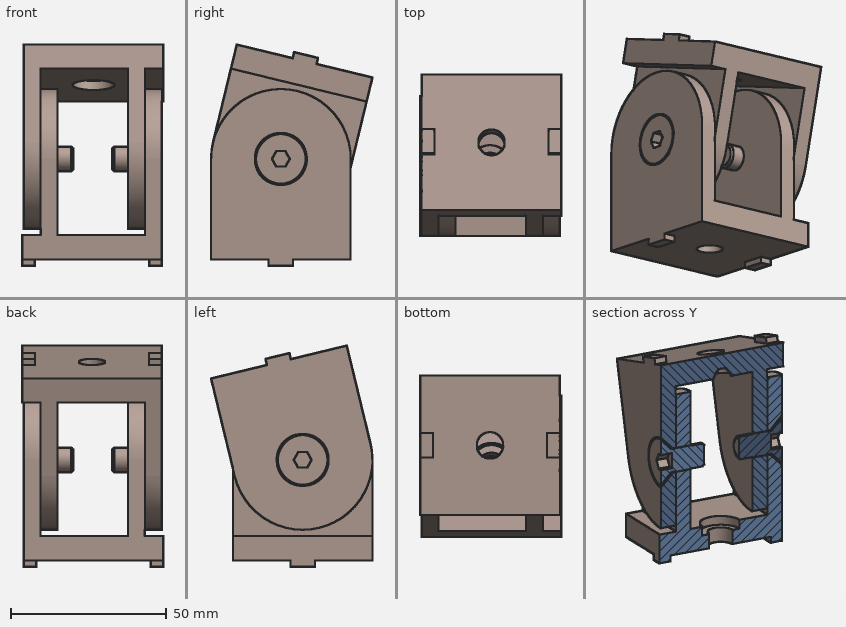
import cadquery as cq
import math

SIZE = 45.0
BASE_THICKNESS = 8.0
PIVOT_HEIGHT = 32.5
ARM_THICKNESS = 5.5
OVERHANG = 6.0
ARM_RADIUS = SIZE / 2

TAB_LENGTH = 4.15
TAB_WIDTH = 8.0
TAB_HEIGHT = 2.0

MOUNT_DIAMETER = 8.5
MOUNT_BORE_DIAMETER = 13.5
MOUNT_BORE_DEPTH = 3.0

HEAD_DIAMETER = 16.0
SHANK_DIAMETER = 8.0
TIP_DIAMETER = 6.65
SCREW_LENGTH = 16.0
SOCKET_ACROSS_FLATS = 5.0
SOCKET_DEPTH = 4.0
SEAT_DIAMETER = 16.8
CLEARANCE_DIAMETER = 8.2

TILT = 13.65
SIDE_SHIFT = OVERHANG - ARM_THICKNESS
OUTER_X = (SIZE + SIDE_SHIFT) / 2 - SIDE_SHIFT
BASE_Z = -PIVOT_HEIGHT
BASE_START_X = OUTER_X - SIZE
BASE_CENTER_X = OUTER_X - SIZE / 2


def x_cylinder(diameter, start_x, length):
    """Cylinder on the pivot axis, running from start_x (toward -X if length is negative)."""
    return cq.Workplane("YZ").workplane(offset=start_x).circle(diameter / 2).extrude(length)


def countersink(face_diameter, inner_diameter):
    """90 degree cone narrowing inward from the outer arm face."""
    depth = (face_diameter - inner_diameter) / 2
    return cq.Workplane(
        cq.Solid.makeCone(
            face_diameter / 2,
            inner_diameter / 2,
            depth,
            pnt=cq.Vector(OUTER_X, 0, 0),
            dir=cq.Vector(-1, 0, 0),
        )
    )


def make_arm(start_x):
    """Plate rising from the base to a half-round end about the pivot axis."""
    return (
        cq.Workplane("YZ")
        .workplane(offset=start_x)
        .moveTo(-ARM_RADIUS, BASE_Z)
        .lineTo(ARM_RADIUS, BASE_Z)
        .lineTo(ARM_RADIUS, 0)
        .threePointArc((0, ARM_RADIUS), (-ARM_RADIUS, 0))
        .close()
        .extrude(ARM_THICKNESS)
    )


def make_bracket():
    """Upright bracket with its flush arm at +X and its base below the pivot."""
    inset_arm_x = BASE_START_X + OVERHANG
    flush_arm_x = OUTER_X - ARM_THICKNESS
    base = (
        cq.Workplane("XY", origin=(BASE_CENTER_X, 0, BASE_Z))
        .rect(SIZE, SIZE)
        .extrude(BASE_THICKNESS)
    )
    bracket = base.union(make_arm(inset_arm_x)).union(make_arm(flush_arm_x))

    tab_spacing = SIZE - TAB_LENGTH
    tabs = (
        cq.Workplane("XY", origin=(BASE_CENTER_X, 0, BASE_Z))
        .pushPoints([(-tab_spacing / 2, 0), (tab_spacing / 2, 0)])
        .rect(TAB_LENGTH, TAB_WIDTH)
        .extrude(-TAB_HEIGHT)
    )
    bracket = bracket.union(tabs)

    mount_hole = (
        cq.Workplane("XY", origin=(BASE_CENTER_X, 0, BASE_Z))
        .circle(MOUNT_DIAMETER / 2)
        .extrude(BASE_THICKNESS)
    )
    mount_bore = (
        cq.Workplane("XY", origin=(BASE_CENTER_X, 0, BASE_Z + BASE_THICKNESS))
        .circle(MOUNT_BORE_DIAMETER / 2)
        .extrude(-MOUNT_BORE_DEPTH)
    )
    bracket = bracket.cut(mount_hole).cut(mount_bore)

    seat = countersink(SEAT_DIAMETER, CLEARANCE_DIAMETER)
    clearance = x_cylinder(CLEARANCE_DIAMETER, flush_arm_x, ARM_THICKNESS)
    shank_hole = x_cylinder(SHANK_DIAMETER, inset_arm_x, ARM_THICKNESS)
    return bracket.cut(seat).cut(clearance).cut(shank_hole)


def make_screw():
    """Pivot screw with its head flush with the outer arm face at +X."""
    head = countersink(HEAD_DIAMETER, SHANK_DIAMETER)
    shank = (
        x_cylinder(SHANK_DIAMETER, OUTER_X, -SCREW_LENGTH)
        .faces("<X")
        .chamfer((SHANK_DIAMETER - TIP_DIAMETER) / 2)
    )
    socket_corner_diameter = SOCKET_ACROSS_FLATS / math.cos(math.pi / 6)
    socket = (
        cq.Workplane("YZ")
        .workplane(offset=OUTER_X)
        .polygon(6, socket_corner_diameter)
        .extrude(-SOCKET_DEPTH)
    )
    return head.union(shank).cut(socket)


def turn_over(body):
    """Half turn about the Y axis through the joint centre."""
    return body.rotate((0, 0, 0), (0, 1, 0), 180)


lower_bracket = make_bracket()
upper_bracket = turn_over(make_bracket()).rotate((0, 0, 0), (1, 0, 0), -TILT)
screw = make_screw()
screws = [screw, turn_over(screw)]

result = cq.Compound.makeCompound(
    [lower_bracket.val(), upper_bracket.val(), *[item.val() for item in screws]]
)